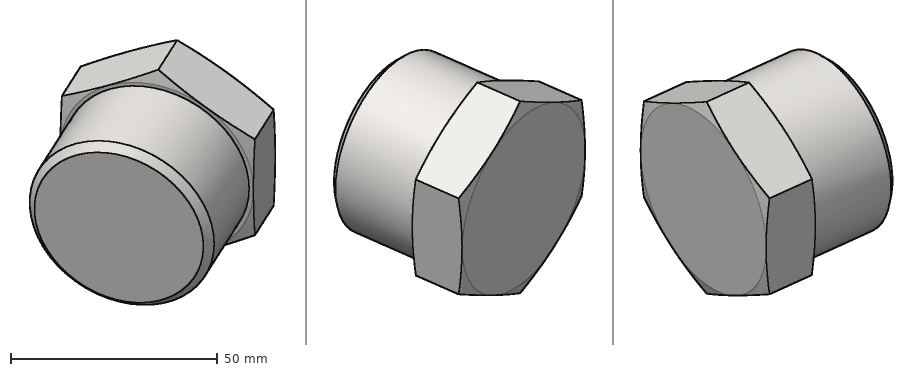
import cadquery as cq
import math

across_corners = 57.75
across_flats = across_corners * math.cos(math.radians(30))
head_length = 15.0
total_length = 41.0
shank_diameter = 47.8
shank_chamfer = 2.0
corner_bevel_angle = 15.0

shank_length = total_length - head_length
corner_radius = across_corners / 2
flat_radius = across_flats / 2
bevel_length = (corner_radius - flat_radius) * math.tan(math.radians(corner_bevel_angle))


def make_head():
    """Hexagon from Y = 0 to head_length, corners bevelled at both ends."""
    prism = (
        cq.Workplane("XZ")
        .polygon(6, across_corners)
        .extrude(-head_length)
        .rotate((0, 0, 0), (0, 1, 0), 30)
    )
    envelope = (
        cq.Workplane("XY")
        .moveTo(0, 0)
        .lineTo(flat_radius, 0)
        .lineTo(corner_radius, bevel_length)
        .lineTo(corner_radius, head_length - bevel_length)
        .lineTo(flat_radius, head_length)
        .lineTo(0, head_length)
        .close()
        .revolve(360, (0, 0, 0), (0, 1, 0))
    )
    return prism.intersect(envelope)


def make_shank():
    """Solid round shank with a chamfered free end."""
    return (
        cq.Workplane("XZ")
        .circle(shank_diameter / 2)
        .extrude(shank_length)
        .faces("<Y")
        .chamfer(shank_chamfer)
    )


result = make_head().union(make_shank())